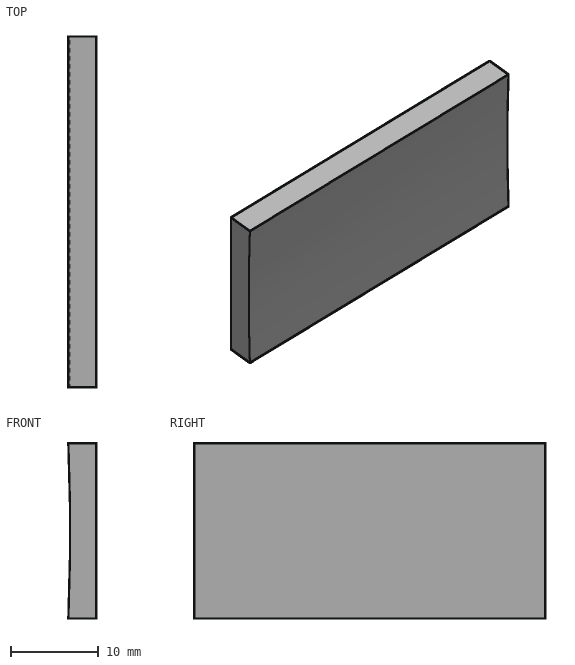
import cadquery as cq

length = 40.0
height = 20.0
edge_thickness = 3.2
sag = 0.2

flat_x = edge_thickness / 2
edge_x = -edge_thickness / 2
half_height = height / 2

profile = (
    cq.Workplane("XZ")
    .moveTo(edge_x, -half_height)
    .lineTo(flat_x, -half_height)
    .lineTo(flat_x, half_height)
    .lineTo(edge_x, half_height)
    .threePointArc((edge_x + sag, 0), (edge_x, -half_height))
    .close()
)

result = profile.extrude(length / 2, both=True)